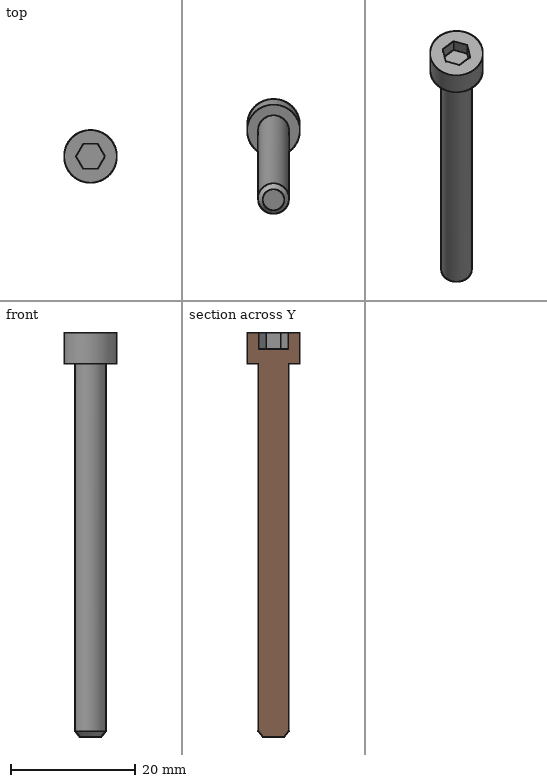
import cadquery as cq
import math

total_length = 65.0
head_diameter = 8.5
shank_diameter = 5.0
head_height = shank_diameter
shank_length = total_length - head_height

tip_chamfer_length = 1.0
tip_chamfer_width = 0.8

socket_across_flats = 4.0
socket_depth = 2.6
socket_across_corners = socket_across_flats / math.cos(math.pi / 6)


def make_head():
    return cq.Workplane("XY").circle(head_diameter / 2).extrude(head_height)


def make_shank():
    shank = cq.Workplane("XY").circle(shank_diameter / 2).extrude(-shank_length)
    return shank.faces("<Z").chamfer(tip_chamfer_length, tip_chamfer_width)


def make_socket():
    top = cq.Workplane("XY").workplane(offset=head_height)
    return top.polygon(6, socket_across_corners).extrude(-socket_depth)


result = make_head().union(make_shank()).cut(make_socket())